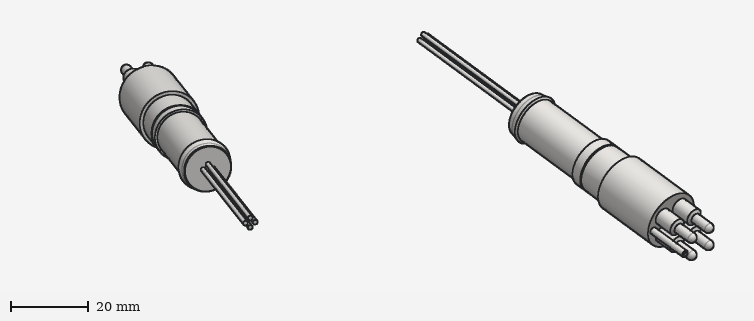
import cadquery as cq
import math

total_length = 108.3
collar_start = 6.9
body_start = 12.6
body_end = 31.8
groove_center = 39.6
shoulder_end = 42.8
flange_start = 64.5
flange_crest = 65.0
flange_taper_end = 66.6
barrel_end = 68.2

body_diameter = 15.9
shoulder_diameter = 14.0
barrel_diameter = 12.7
groove_width = 0.3
groove_depth = 0.1
flange_rim_diameter = 13.1
flange_end_diameter = barrel_diameter
flange_end_chamfer = 0.2

pin_diameter = 2.8
pin_offset = 2.9
collar_diameter = 4.8
collar_cone_length = 0.5

key_diameter = 2.0
key_offset = 6.2
key_chamfer = 0.3

wire_count = 4
wire_diameter = 1.3
wire_circle_radius = wire_diameter

overlap = 1.1


def rod(start, end, diameter, y=0.0, z=0.0):
    """Round bar parallel to X."""
    return cq.Workplane("YZ", origin=(start, y, z)).circle(diameter / 2).extrude(end - start)


def make_body():
    """Turned body: outline in the XY plane revolved about X."""
    body_radius = body_diameter / 2
    shoulder_radius = shoulder_diameter / 2
    barrel_radius = barrel_diameter / 2
    flange_end_radius = flange_end_diameter / 2
    groove_radius = shoulder_radius - groove_depth
    groove_start = groove_center - groove_width / 2
    groove_end = groove_center + groove_width / 2
    outline = [
        (body_start, 0),
        (body_start, body_radius),
        (body_end, body_radius),
        (body_end, shoulder_radius),
        (groove_start, shoulder_radius),
        (groove_start, groove_radius),
        (groove_end, groove_radius),
        (groove_end, shoulder_radius),
        (shoulder_end, shoulder_radius),
        (shoulder_end, barrel_radius),
        (flange_start, barrel_radius),
        (flange_crest, shoulder_radius),
        (flange_taper_end, flange_rim_diameter / 2),
        (barrel_end - flange_end_chamfer, flange_end_radius),
        (barrel_end, flange_end_radius - flange_end_chamfer),
        (barrel_end, 0),
    ]
    return cq.Workplane("XY").polyline(outline).close().revolve(360, (0, 0, 0), (1, 0, 0))


def make_contact_pin(y, z):
    """Domed pin that widens through a short cone into a collar."""
    pin_radius = pin_diameter / 2
    collar_radius = collar_diameter / 2
    arc_reach = pin_radius * math.sin(math.radians(45))
    arc_middle = (pin_radius - arc_reach, arc_reach)
    return (
        cq.Workplane("XY")
        .moveTo(0, 0)
        .threePointArc(arc_middle, (pin_radius, pin_radius))
        .lineTo(collar_start - collar_cone_length, pin_radius)
        .lineTo(collar_start, collar_radius)
        .lineTo(body_start + overlap, collar_radius)
        .lineTo(body_start + overlap, 0)
        .close()
        .revolve(360, (0, 0, 0), (1, 0, 0))
        .translate((0, y, z))
    )


def make_key_pin():
    """Slim keying pin near the rim, chamfered at its tip."""
    key = rod(0, body_start + overlap, key_diameter, y=key_offset)
    return key.faces("<X").chamfer(key_chamfer)


def make_wires():
    """Wires evenly spaced around the axis."""
    return (
        cq.Workplane("YZ", origin=(barrel_end - overlap, 0, 0))
        .polarArray(wire_circle_radius, 0, 360, wire_count)
        .circle(wire_diameter / 2)
        .extrude(total_length - barrel_end + overlap)
    )


result = make_body().union(make_key_pin()).union(make_wires())
for pin_y in (-pin_offset, pin_offset):
    for pin_z in (-pin_offset, pin_offset):
        result = result.union(make_contact_pin(pin_y, pin_z))